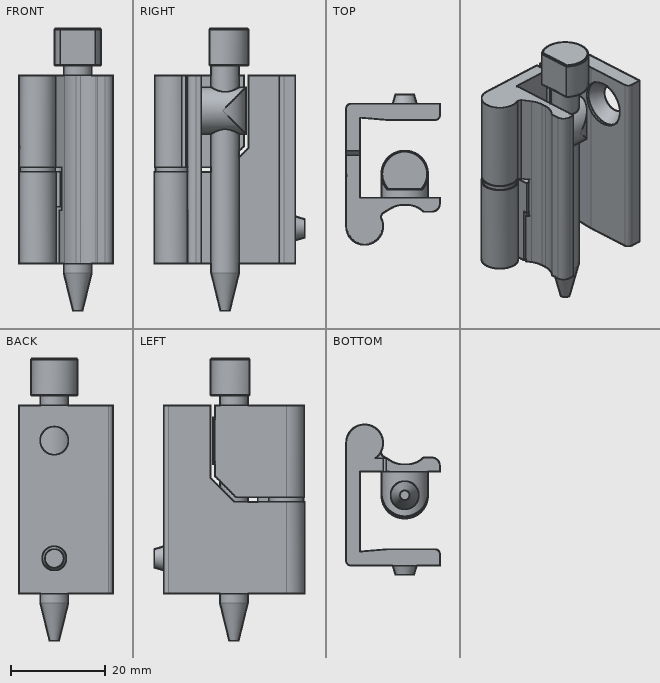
import cadquery as cq
import math

overall_height = 60.0
body_width = 20.0
body_depth = 30.0
body_height = 40.0

wall = 3.0
back_plate = 3.5
plate_inner_y = body_depth - back_plate
flange_inner_y = 10.0
flange_outer_y = 7.0
hinge_radius = 3.95
hinge_x = hinge_radius
hinge_y = hinge_radius

ledge_z = 19.5
ledge_gap = 0.95
split_y = 20.0
split_gap = 0.9
split_chamfer = 5.05
arm_bottom_z = ledge_z + ledge_gap
arm_edge_y = split_y - split_gap
arm_chamfer = 4.5
arm_inset = 0.05

web_x = 2 * hinge_radius
web_y = 7.2
tooth_x = 8.75
tooth_bottom_z = 12.1
notch_x = 9.1
notch_bottom_z = 11.35
flange_end_x = 8.6

plate_fillet = 1.0
relief_depth = 0.5
relief_end_x = 8.7
stud_x = 12.5
stud_z = 7.5
stud_length = 2.0
stud_base_radius = 2.6
stud_tip_radius = 2.0

boss_x = stud_x
boss_z = 32.5
boss_radius = 5.0
boss_end_y = 19.5
seat_lip = 0.6
seat_exit_radius = 3.0

groove_x = 12.55
groove_flat = 0.95
groove_top_y = 8.45
groove_radius = 4.8
groove_left_x = 9.6
groove_corner_fillet = 0.5
flange_fillet = 1.8
lip_x = 7.75
lip_root_x = 7.4

screw_x = boss_x
screw_y = 15.05
shank_radius = 3.0
head_radius = 5.0
head_height = 8.0
neck_height = 2.0
head_flat = 3.35
head_chamfer = 0.25
tail_length = 2.0
point_radius = 1.0
head_bottom_z = body_height + neck_height
screw_top_z = head_bottom_z + head_height
screw_bottom_z = screw_top_z - overall_height

spacer_radius = 3.7


def box(x0, x1, y0, y1, z0, z1):
    return cq.Workplane("XY").box(x1 - x0, y1 - y0, z1 - z0, centered=False).translate((x0, y0, z0))


def cylinder_z(x, y, radius, z0, z1):
    return cq.Workplane("XY", origin=(x, y, z0)).circle(radius).extrude(z1 - z0)


def revolve_y(x, z, profile):
    """Turn a profile of (radius, y) points about the line at x and z that runs along Y."""
    outline = cq.Workplane("XY", origin=(x, 0, z)).polyline(profile).close()
    return outline.revolve(360, (0, 0, 0), (0, 1, 0))


def wall_prism(points):
    """Extrude an outline of (y, z) points through the side wall."""
    return cq.Workplane("YZ").polyline(points).close().extrude(wall)


def fillet_upright(body, x, y, radius):
    """Round the full-height edge that stands at x and y."""
    nearest = cq.selectors.NearestToPointSelector((x, y, body_height / 2))
    return body.edges(nearest).fillet(radius)


def make_plate_and_wall():
    """L-shaped section whose inner corner has a shallow sloped relief."""
    section = (
        cq.Workplane("XY")
        .moveTo(0, hinge_y)
        .lineTo(0, body_depth)
        .lineTo(body_width, body_depth)
        .lineTo(body_width, plate_inner_y)
        .lineTo(relief_end_x, plate_inner_y)
        .lineTo(wall, plate_inner_y + relief_depth)
        .lineTo(wall, hinge_y)
        .close()
    )
    plate = section.extrude(body_height)
    plate = fillet_upright(plate, 0, body_depth, plate_fillet)
    return fillet_upright(plate, body_width, plate_inner_y, plate_fillet)


def make_arm_opening():
    """Space in the side wall that the arm and its clearance take up."""
    return wall_prism([
        (0, ledge_z),
        (split_y - split_chamfer, ledge_z),
        (split_y, ledge_z + split_chamfer),
        (split_y, body_height),
        (0, body_height),
    ])


def make_stud():
    """Tapered locating stud on the outer face of the back plate."""
    root_y = body_depth - back_plate / 2
    return revolve_y(stud_x, stud_z, [
        (0, root_y),
        (stud_base_radius, root_y),
        (stud_base_radius, body_depth),
        (stud_tip_radius, body_depth + stud_length),
        (0, body_depth + stud_length),
    ])


def make_seat():
    """Hole through the back plate: a short straight lip, then a cone."""
    return revolve_y(boss_x, boss_z, [
        (0, plate_inner_y),
        (boss_radius, plate_inner_y),
        (boss_radius, plate_inner_y + seat_lip),
        (seat_exit_radius, body_depth),
        (0, body_depth),
    ])


def make_base():
    knuckle = cylinder_z(hinge_x, hinge_y, hinge_radius, 0, ledge_z)
    web = box(0, web_x, web_y, flange_inner_y, 0, ledge_z)
    tooth = box(hinge_x, tooth_x, web_y, flange_inner_y, tooth_bottom_z, ledge_z)
    body = make_plate_and_wall().cut(make_arm_opening())
    return body.union(knuckle).union(web).union(tooth).union(make_stud()).cut(make_seat())


groove_center_y = groove_top_y - groove_radius
groove_left_center_x = groove_x - groove_flat / 2
groove_right_center_x = groove_x + groove_flat / 2
groove_right_x = groove_right_center_x + math.sqrt(
    groove_radius**2 - (flange_outer_y - groove_center_y) ** 2
)


def groove_point(center_x, x):
    """Point at x on the groove arc whose center is at center_x."""
    return x, groove_center_y + math.sqrt(groove_radius**2 - (x - center_x) ** 2)


def make_arm_section():
    """Full-height section; the lip line left of the groove is tangent to the groove arc."""
    arm_radius = hinge_radius - arm_inset
    right_middle = groove_point(groove_right_center_x, (groove_right_center_x + groove_right_x) / 2)
    left_middle = groove_point(groove_left_center_x, (groove_left_center_x + groove_left_x) / 2)
    left_end = groove_point(groove_left_center_x, groove_left_x)
    lip_slope = (groove_left_center_x - groove_left_x) / (left_end[1] - groove_center_y)
    lip_y = left_end[1] - lip_slope * (groove_left_x - lip_x)
    lip_root_y = hinge_y + math.sqrt(arm_radius**2 - (lip_root_x - hinge_x) ** 2)
    section = (
        cq.Workplane("XY")
        .moveTo(arm_inset, hinge_y)
        .lineTo(arm_inset, arm_edge_y)
        .lineTo(wall, arm_edge_y)
        .lineTo(wall, flange_inner_y)
        .lineTo(body_width, flange_inner_y)
        .lineTo(body_width, flange_outer_y)
        .lineTo(groove_right_x, flange_outer_y)
        .threePointArc(right_middle, (groove_right_center_x, groove_top_y))
        .lineTo(groove_left_center_x, groove_top_y)
        .threePointArc(left_middle, left_end)
        .lineTo(lip_x, lip_y)
        .lineTo(lip_root_x, lip_root_y)
        .threePointArc((hinge_x, hinge_y - arm_radius), (arm_inset, hinge_y))
        .close()
    )
    arm = section.extrude(body_height)
    arm = fillet_upright(arm, body_width, flange_outer_y, flange_fillet)
    return fillet_upright(arm, groove_right_x, flange_outer_y, groove_corner_fillet)


def make_boss():
    """Round bar along Y whose free end is also rounded in plan."""
    round_y = boss_end_y - boss_radius
    bottom_z = boss_z - boss_radius
    top_z = boss_z + boss_radius
    bar = (
        cq.Workplane("XZ", origin=(boss_x, flange_inner_y, boss_z))
        .circle(boss_radius)
        .extrude(flange_inner_y - boss_end_y)
    )
    plan = box(boss_x - boss_radius, boss_x + boss_radius, flange_inner_y, round_y, bottom_z, top_z)
    plan = plan.union(cylinder_z(boss_x, round_y, boss_radius, bottom_z, top_z))
    return bar.intersect(plan)


def make_arm():
    below_arm = box(0, flange_end_x, 0, arm_edge_y, 0, arm_bottom_z)
    notch = box(0, notch_x, 0, flange_inner_y, notch_bottom_z, arm_bottom_z)
    corner = wall_prism([
        (arm_edge_y, arm_bottom_z),
        (arm_edge_y, arm_bottom_z + arm_chamfer),
        (arm_edge_y - arm_chamfer, arm_bottom_z),
    ])
    screw_hole = cylinder_z(screw_x, screw_y, shank_radius, 0, body_height)
    arm = make_arm_section().cut(below_arm).cut(notch).cut(corner)
    return arm.union(make_boss()).cut(screw_hole)


def make_screw():
    head = cylinder_z(screw_x, screw_y, head_radius, head_bottom_z, screw_top_z)
    head = head.cut(box(0, body_width, 0, screw_y - head_flat, head_bottom_z, screw_top_z))
    head = head.faces("<Z or >Z").chamfer(head_chamfer)
    shank = cylinder_z(screw_x, screw_y, shank_radius, -tail_length, head_bottom_z)
    point = (
        cq.Workplane("XY", origin=(screw_x, screw_y, screw_bottom_z))
        .circle(point_radius)
        .workplane(offset=-tail_length - screw_bottom_z)
        .circle(shank_radius)
        .loft()
    )
    return shank.union(head).union(point)


def make_spacer():
    return cylinder_z(hinge_x, hinge_y, spacer_radius, ledge_z, arm_bottom_z)


base = make_base().solids()
arm = make_arm().solids()
screw = make_screw().solids()
spacer = make_spacer().solids()

result = cq.Compound.makeCompound([base.val(), arm.val(), screw.val(), spacer.val()])